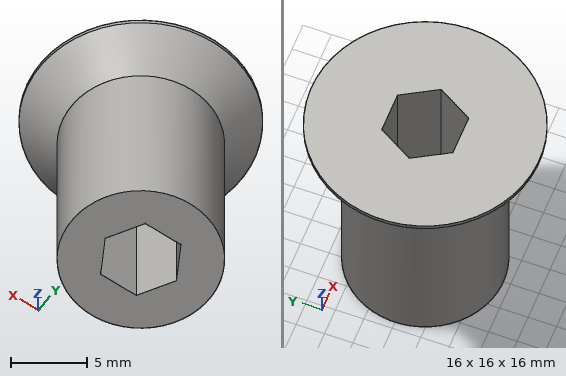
import cadquery as cq
import math

total_height = 16.0
head_diameter = 16.0
shank_diameter = 11.0
rim_height = 0.3
hex_across_flats = 5.0

head_radius = head_diameter / 2
shank_radius = shank_diameter / 2
cone_height = head_radius - shank_radius
rim_bottom = total_height - rim_height
shank_top = rim_bottom - cone_height
hex_across_corners = hex_across_flats / math.cos(math.pi / 6)


def countersunk_body():
    """Shank, conical head and thin cylindrical rim, revolved about Z."""
    half_profile = [
        (0, 0),
        (shank_radius, 0),
        (shank_radius, shank_top),
        (head_radius, rim_bottom),
        (head_radius, total_height),
        (0, total_height),
    ]
    return cq.Workplane("XZ").polyline(half_profile).close().revolve(360, (0, 0), (0, 1))


def hex_bore():
    """Hexagonal through hole with two corners on the X axis."""
    return cq.Workplane("XY").polygon(6, hex_across_corners).extrude(total_height)


result = countersunk_body().cut(hex_bore())